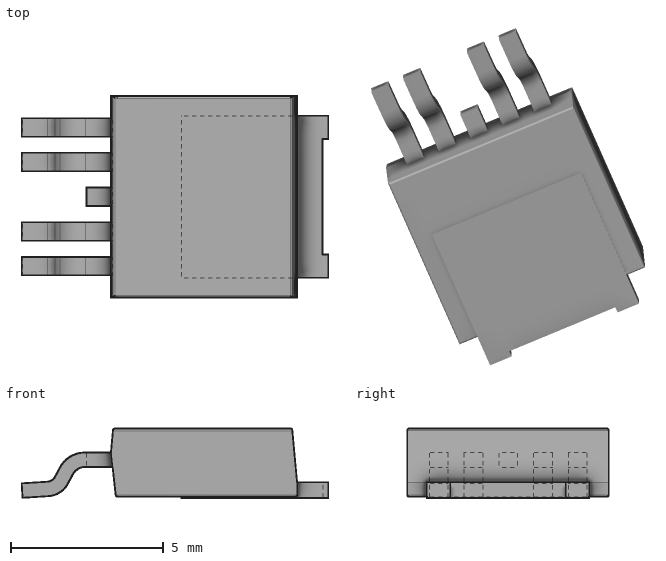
import cadquery as cq
import math

length = 10.04
height = 2.28
body_width = 6.6

body_bottom = 0.04
body_top_left = 2.99
body_left = 2.92
body_bottom_left = 3.08
body_top_right = 8.86
body_right = 9.02
edge_round = 0.07

pad_start = 5.22
pad_thickness = 0.52
pad_width = 5.3
notch_width = 3.78
notch_depth = 0.19

lead_top = 1.5
lead_thickness = 0.48
lead_width = 0.61
lead_pitch = 1.13
stub_tip = 2.12
lead_root = body_bottom_left + 0.2
upper_bend_x = 2.08
upper_bend_radius = 0.93
lower_bend_radius = 0.3
slope_length = 0.34
slope_angle = math.radians(62)
foot_angle = math.radians(3.6)


def make_body():
    """Block with slanted ends that are widest at the lead and pad tops."""
    outline = [
        (body_bottom_left, body_bottom),
        (body_left, lead_top),
        (body_top_left, height),
        (body_top_right, height),
        (body_right, pad_thickness),
        (body_right, body_bottom),
    ]
    block = cq.Workplane("XZ").polyline(outline).close().extrude(body_width / 2, both=True)
    return block.faces("<Z or >Z").edges().fillet(edge_round)


def make_pad():
    """Flat pad with a shallow notch in its outer edge."""
    pad = cq.Workplane("XY").box(
        length - pad_start, pad_width, pad_thickness, centered=(False, True, False)
    ).translate((pad_start, 0, 0))
    notch = cq.Workplane("XY").box(
        notch_depth, notch_width, pad_thickness, centered=(False, True, False)
    ).translate((length - notch_depth, 0, 0))
    return pad.cut(notch)


def on_circle(center, radius, angle):
    """Point where a circle's tangent is tilted by the angle; a negative radius gives the lower arc."""
    return (center[0] - radius * math.sin(angle), center[1] + radius * math.cos(angle))


def make_lead(y):
    """Gull-wing lead centered on the given Y."""
    upper_center = (upper_bend_x, lead_top - upper_bend_radius)
    center_distance = upper_bend_radius + lower_bend_radius
    across = on_circle(upper_center, center_distance, slope_angle)
    lower_center = (
        across[0] - slope_length * math.cos(slope_angle),
        across[1] - slope_length * math.sin(slope_angle),
    )
    upper_mid = slope_angle / 2
    lower_mid = (slope_angle + foot_angle) / 2
    upper_inside = upper_bend_radius - lead_thickness
    lower_outside = lower_bend_radius + lead_thickness

    foot_start = on_circle(lower_center, -lower_bend_radius, foot_angle)
    tip_top = (0, foot_start[1] - foot_start[0] * math.tan(foot_angle))
    tip_bottom = on_circle(tip_top, -lead_thickness, foot_angle)

    profile = (
        cq.Workplane("XZ", origin=(0, y, 0))
        .moveTo(lead_root, lead_top)
        .lineTo(upper_bend_x, lead_top)
        .threePointArc(
            on_circle(upper_center, upper_bend_radius, upper_mid),
            on_circle(upper_center, upper_bend_radius, slope_angle),
        )
        .lineTo(*on_circle(lower_center, -lower_bend_radius, slope_angle))
        .threePointArc(on_circle(lower_center, -lower_bend_radius, lower_mid), foot_start)
        .lineTo(*tip_top)
        .lineTo(*tip_bottom)
        .lineTo(*on_circle(lower_center, -lower_outside, foot_angle))
        .threePointArc(
            on_circle(lower_center, -lower_outside, lower_mid),
            on_circle(lower_center, -lower_outside, slope_angle),
        )
        .lineTo(*on_circle(upper_center, upper_inside, slope_angle))
        .threePointArc(
            on_circle(upper_center, upper_inside, upper_mid),
            (upper_bend_x, lead_top - lead_thickness),
        )
        .lineTo(lead_root, lead_top - lead_thickness)
        .close()
    )
    return profile.extrude(lead_width / 2, both=True)


def make_stub():
    """Cropped straight lead in the middle of the row."""
    return cq.Workplane("XY").box(
        lead_root - stub_tip, lead_width, lead_thickness, centered=(False, True, False)
    ).translate((stub_tip, 0, lead_top - lead_thickness))


result = make_body().union(make_pad()).union(make_stub())
for position in (-2, -1, 1, 2):
    result = result.union(make_lead(position * lead_pitch))